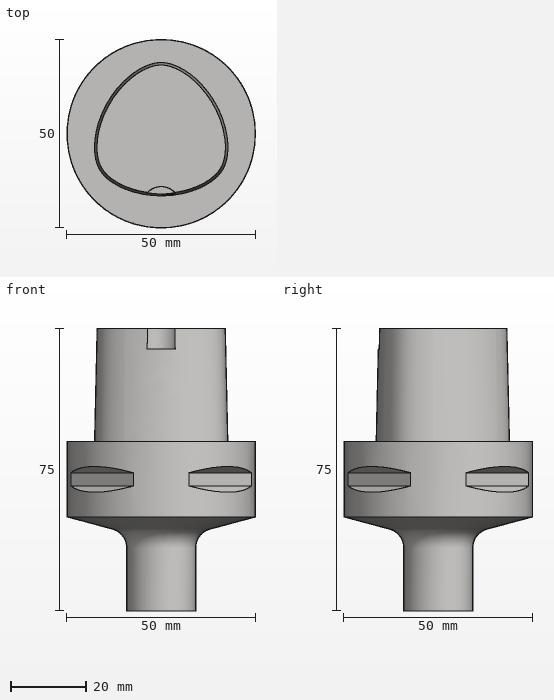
import cadquery as cq
import math

total_height = 75.0
flange_top = 45.0
flange_bottom = 25.0
shank_top = 16.9

flange_radius = 50.0 / 2
shank_radius = 18.4 / 2
cone_angle = math.radians(15)

base_mean_radius = 17.7
top_mean_radius = 17.0
lobe_height = 1.2
lobe_count = 3
flat_half_angle = 23

slot_count = 4
slot_start_angle = 45
slot_height = 34.95
slot_depth = 2.9
slot_floor_width = 3.45
slot_side_angle = math.radians(30)

notch_radius = 5.0
notch_inner_distance = 14.0
notch_height = 5.5


def turned_body():
    """Shank, concave fillet, cone and flange as one revolved profile."""
    cone_height_at_shank = (flange_radius - shank_radius) * math.tan(cone_angle)
    rise_to_cone = flange_bottom - cone_height_at_shank - shank_top
    fillet_radius = rise_to_cone / (1 / math.cos(cone_angle) - math.tan(cone_angle))

    def fillet_point(angle):
        return (
            shank_radius + fillet_radius * (1 - math.cos(angle)),
            shank_top + fillet_radius * math.sin(angle),
        )

    fillet_sweep = math.pi / 2 - cone_angle
    return (
        cq.Workplane("XZ")
        .lineTo(shank_radius, 0)
        .lineTo(shank_radius, shank_top)
        .threePointArc(fillet_point(fillet_sweep / 2), fillet_point(fillet_sweep))
        .lineTo(flange_radius, flange_bottom)
        .lineTo(flange_radius, flange_top)
        .lineTo(0, flange_top)
        .close()
        .revolve(360, (0, 0), (0, 1))
    )


def lobed_wire(mean_radius, height):
    """Constant-width outline with one lobe on +Y, split where lobes meet flats."""

    def outline_point(degrees):
        angle = math.radians(degrees)
        along_lobe = (
            mean_radius * math.cos(angle)
            + 2 * lobe_height * math.cos(2 * angle)
            - lobe_height * math.cos(4 * angle)
        )
        across_lobe = (
            mean_radius * math.sin(angle)
            - 2 * lobe_height * math.sin(2 * angle)
            - lobe_height * math.sin(4 * angle)
        )
        return cq.Vector(-across_lobe, along_lobe, height)

    def outline_edge(start, end):
        steps = 12
        return cq.Edge.makeSpline(
            [outline_point(start + (end - start) * i / steps) for i in range(steps + 1)]
        )

    pitch = 360 / lobe_count
    lobe_half_angle = pitch / 2 - flat_half_angle
    edges = []
    for lobe in range(lobe_count):
        center = lobe * pitch
        lobe_end = center + lobe_half_angle
        edges.append(outline_edge(center - lobe_half_angle, lobe_end))
        edges.append(outline_edge(lobe_end, lobe_end + 2 * flat_half_angle))
    return cq.Wire.assembleEdges(edges)


def lobed_taper():
    base = lobed_wire(base_mean_radius, flange_top)
    top = lobed_wire(top_mean_radius, total_height)
    return cq.Workplane(cq.Solid.makeLoft([base, top], True))


def gripper_slot(direction):
    """Flat-floored slot with flared sides, cut straight across the flange rim."""
    overshoot = 1.5
    floor_distance = flange_radius - slot_depth
    outer_distance = flange_radius + overshoot
    floor_half = slot_floor_width / 2
    flare = (outer_distance - floor_distance) * math.tan(slot_side_angle)
    outer_half = floor_half + flare
    return (
        cq.Workplane("XZ")
        .polyline([
            (floor_distance, slot_height - floor_half),
            (outer_distance, slot_height - outer_half),
            (outer_distance, slot_height + outer_half),
            (floor_distance, slot_height + floor_half),
        ])
        .close()
        .extrude(flange_radius, both=True)
        .rotate((0, 0, 0), (0, 0, 1), direction)
    )


def taper_notch():
    return (
        cq.Workplane("XY", origin=(0, 0, total_height - notch_height))
        .center(0, -notch_inner_distance - notch_radius)
        .circle(notch_radius)
        .extrude(notch_height)
    )


result = turned_body().union(lobed_taper()).cut(taper_notch())
for index in range(slot_count):
    result = result.cut(gripper_slot(slot_start_angle + index * 360 / slot_count))